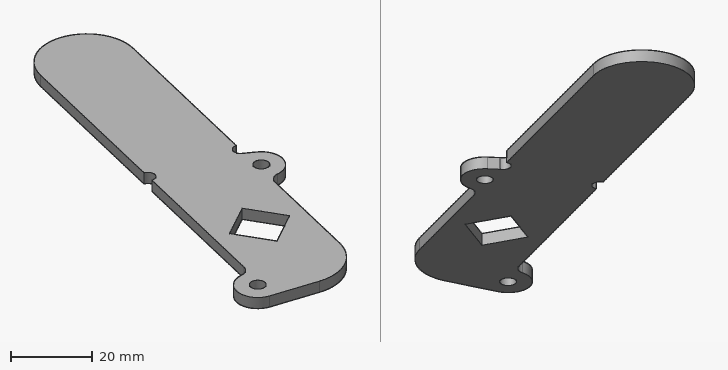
import cadquery as cq
import math

length = 130.0
thickness = 3.2
body_width = 26.0
half_width = body_width / 2

overall_width = 40.0
ear_radius = 6.0
ear_offset = overall_width / 2 - ear_radius
top_ear_x = 75.7
corner_ear_x = length - ear_radius
hole_diameter = 4.2
ear_fillet = 3.0

notch_x = 67.0
notch_radius = 2.0
diamond_x = 99.8
diamond_width = 17.4
diamond_height = 16.9

fillet_center_y = half_width + ear_fillet
center_distance = ear_radius + ear_fillet
fillet_reach = math.sqrt(center_distance**2 - (fillet_center_y - ear_offset) ** 2)


def cylinder(x, y, radius):
    """Full-thickness cylinder standing on the bottom plane."""
    return cq.Workplane("XY").center(x, y).circle(radius).extrude(thickness)


def ear_flare(ear_x, direction, side):
    """Concave web joining an ear to the plate edge.

    direction is the way along X from the ear; side is +1 for the top edge.
    """
    center_x = ear_x + direction * fillet_reach
    web = (
        cq.Workplane("XY")
        .moveTo(ear_x, side * half_width)
        .lineTo(center_x, side * half_width)
        .lineTo(center_x, side * fillet_center_y)
        .lineTo(ear_x, side * ear_offset)
        .close()
        .extrude(thickness)
    )
    return web.cut(cylinder(center_x, side * fillet_center_y, ear_fillet))


def notch_web():
    """Web whose straight flank touches both the top notch and the top ear circle."""
    run = top_ear_x - notch_x
    rise = ear_offset - half_width
    center_line_angle = math.atan2(rise, run)
    tangent_angle = math.acos((notch_radius + ear_radius) / math.hypot(run, rise))
    normal_angle = center_line_angle - tangent_angle
    normal_x = math.cos(normal_angle)
    normal_y = math.sin(normal_angle)
    return (
        cq.Workplane("XY")
        .moveTo(notch_x + notch_radius * normal_x, half_width + notch_radius * normal_y)
        .lineTo(top_ear_x - ear_radius * normal_x, ear_offset - ear_radius * normal_y)
        .lineTo(top_ear_x, ear_offset)
        .close()
        .extrude(thickness)
    )


diagonal = half_width * math.sqrt(0.5)
corner_center_x = length - half_width
plate = (
    cq.Workplane("XY")
    .moveTo(half_width, -half_width)
    .threePointArc((0, 0), (half_width, half_width))
    .lineTo(corner_center_x, half_width)
    .threePointArc((corner_center_x + diagonal, diagonal), (length, 0))
    .lineTo(length, -ear_offset)
    .lineTo(corner_ear_x, -ear_offset)
    .lineTo(corner_ear_x, -half_width)
    .close()
    .extrude(thickness)
)

plate = plate.union(cylinder(top_ear_x, ear_offset, ear_radius))
plate = plate.union(cylinder(corner_ear_x, -ear_offset, ear_radius))
plate = plate.union(ear_flare(top_ear_x, 1, 1))
plate = plate.union(notch_web())
plate = plate.union(ear_flare(corner_ear_x, -1, -1))

plate = plate.cut(cylinder(top_ear_x, ear_offset, hole_diameter / 2))
plate = plate.cut(cylinder(corner_ear_x, -ear_offset, hole_diameter / 2))

for side in (-1, 1):
    plate = plate.cut(cylinder(notch_x, side * half_width, notch_radius))

diamond = (
    cq.Workplane("XY")
    .moveTo(diamond_x - diamond_width / 2, 0)
    .lineTo(diamond_x, diamond_height / 2)
    .lineTo(diamond_x + diamond_width / 2, 0)
    .lineTo(diamond_x, -diamond_height / 2)
    .close()
    .extrude(thickness)
)
result = plate.cut(diamond)